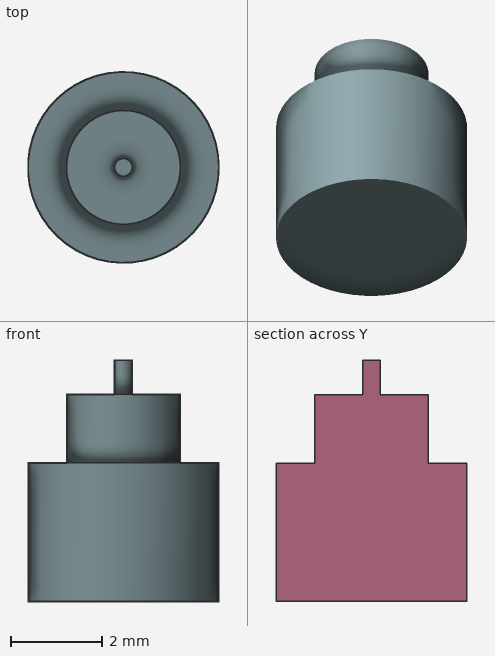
import cadquery as cq

total_height = 5.3
collar_height = 1.5
pin_height = 0.75
body_height = total_height - collar_height - pin_height

body_diameter = 4.2
collar_diameter = 2.5
pin_diameter = 0.39


def add_step(part, diameter, height):
    """Stack a coaxial cylinder on the top face of the part."""
    return part.faces(">Z").workplane().circle(diameter / 2).extrude(height)


body = cq.Workplane("XY").circle(body_diameter / 2).extrude(body_height)

body_with_collar = add_step(body, collar_diameter, collar_height)
result = add_step(body_with_collar, pin_diameter, pin_height)